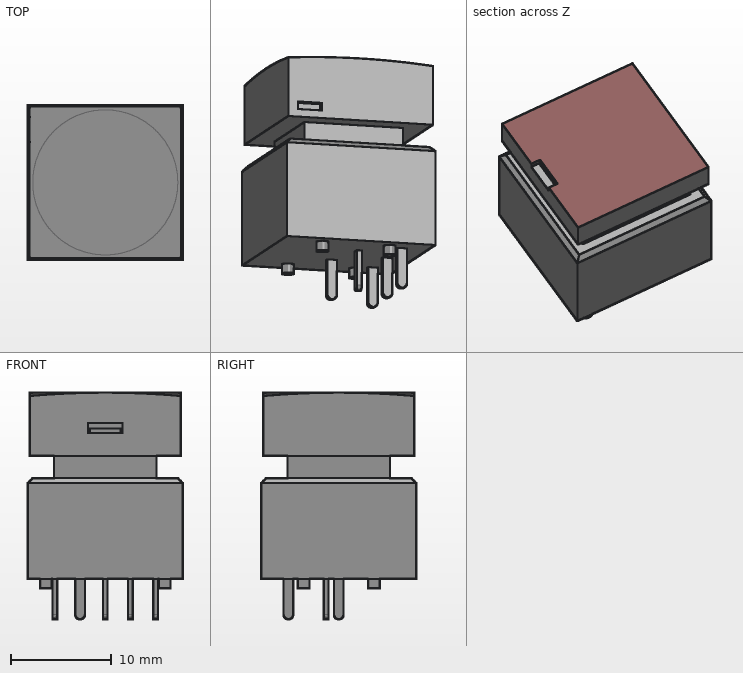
import cadquery as cq
import math

total_height = 22.5
base_bottom = 4.0
base_top = 14.0
cap_bottom = 16.2

base_width = 15.4
base_chamfer = 0.5
recess_width = 12.4
recess_depth = 0.11

neck_width = 10.2

cap_width = 15.0
dish_rim_radius = 7.2
dome_radius = 85.5

window_width = 3.38
window_height = 0.97
window_depth = 1.0
window_bottom = 18.5
lug_width = 3.0
lug_height = 0.45
lug_thickness = 0.1

notch_width = 2.5
notch_height = 0.76
notch_depth = 0.7
notch_bottom = 16.96
notch_y = 5.25

pin_pitch = 2.5
pin_width = 1.0
pin_thickness = 0.5
switch_row_y = -2 * pin_pitch
cross_pin_y = -pin_pitch / 2

peg_diameter = 1.2
peg_length = 0.92
peg_x = 5.9
peg_y = 3.49


def block(width_x, width_y, bottom, top):
    """Box centred on the Z axis between two levels."""
    return (
        cq.Workplane("XY")
        .workplane(offset=bottom)
        .rect(width_x, width_y)
        .extrude(top - bottom)
    )


def make_base():
    base = block(base_width, base_width, base_bottom, base_top)
    base = base.faces(">Z").edges().chamfer(base_chamfer)
    return base.cut(block(recess_width, recess_width, base_top - recess_depth, base_top))


def make_cap():
    cap = block(cap_width, cap_width, cap_bottom, total_height)
    center_offset = math.sqrt(dome_radius**2 - dish_rim_radius**2)
    dome = cq.Workplane("XY").sphere(dome_radius).translate((0, 0, total_height - center_offset))
    dish = cq.Workplane("XY").sphere(dome_radius).translate((0, 0, total_height + center_offset))
    cap = cap.intersect(dome).cut(dish)

    window = block(window_width, window_depth, window_bottom, window_bottom + window_height)
    cap = cap.cut(window.translate((0, (window_depth - cap_width) / 2, 0)))

    lug = block(lug_width, lug_thickness, window_bottom, window_bottom + lug_height)
    lug_y = window_depth - (cap_width + lug_thickness) / 2
    cap = cap.union(lug.translate((0, lug_y, 0)))

    notch = block(notch_depth, notch_width, notch_bottom, notch_bottom + notch_height)
    return cap.cut(notch.translate(((notch_depth - cap_width) / 2, notch_y, 0)))


def make_pin(x, y, turn):
    """Flat pin, wide along X, turned about its own axis by the given angle."""
    tip_radius = pin_width / 2
    pin = (
        cq.Workplane("XZ")
        .moveTo(-tip_radius, base_bottom)
        .lineTo(-tip_radius, tip_radius)
        .threePointArc((0, 0), (tip_radius, tip_radius))
        .lineTo(tip_radius, base_bottom)
        .close()
        .extrude(pin_thickness / 2, both=True)
    )
    return pin.rotate((0, 0, 0), (0, 0, 1), turn).translate((x, y, 0))


def make_pegs():
    return (
        cq.Workplane("XY")
        .workplane(offset=base_bottom - peg_length)
        .rect(2 * peg_x, 2 * peg_y, forConstruction=True)
        .vertices()
        .circle(peg_diameter / 2)
        .extrude(peg_length)
    )


neck = block(neck_width, neck_width, base_top - recess_depth, cap_bottom)
result = make_base().union(neck).union(make_cap()).union(make_pegs())

for pin_x in (-2 * pin_pitch, 0, 2 * pin_pitch):
    result = result.union(make_pin(pin_x, switch_row_y, 90))
result = result.union(make_pin(pin_pitch, 0, 90))
result = result.union(make_pin(-pin_pitch, cross_pin_y, 0))